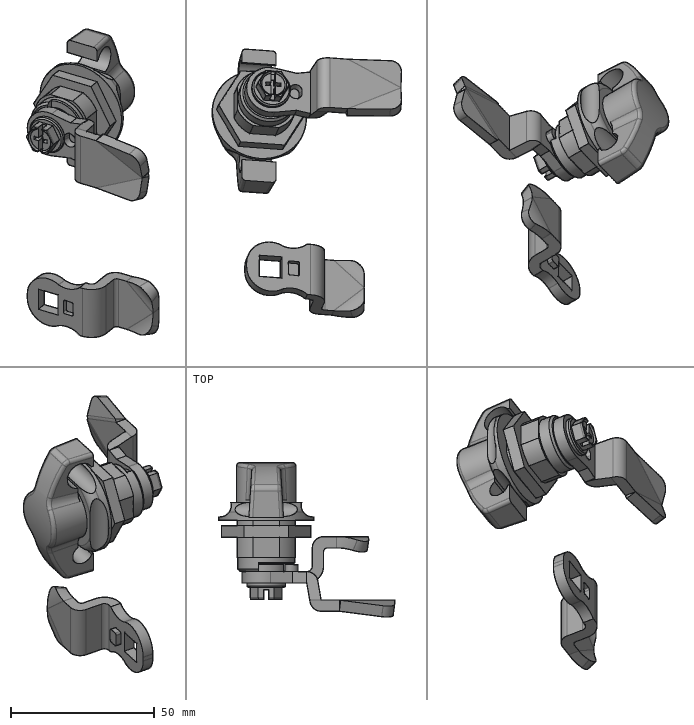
import cadquery as cq
import math


KNOB_SPAN = 50.0
KNOB_HALF_SPAN = KNOB_SPAN / 2
KNOB_TOP_Y = 20.1
DOME_RADIUS = 41.1
HUB_DIAMETER = 20.9
HUB_RADIUS = HUB_DIAMETER / 2
WING_BASE_Y = 0.9
WING_BASE_HALF_WIDTH = 6.1
WING_DRAFT = 3.5
WING_UNDERCUT_Y = 7.1
HUB_FILLET = 4.3
KNOB_EDGE_FILLET = 1.3
RIM_EDGES_Y = 8.2
TIP_ROUNDING = 2.9
UPPER_HOLE_Y, UPPER_HOLE_Z, UPPER_HOLE_RADIUS = 6.3, 17.5, 5.0
UPPER_FOOT_Z = 19.8
LOWER_HOLE_Y, LOWER_HOLE_Z, LOWER_HOLE_RADIUS = 5.3, -16.0, 3.8
LOWER_FOOT_Z = -17.2

FLANGE_RADIUS = 16.6
FLANGE_HEIGHT = 6.3
FLANGE_ROUNDING = 3.4
DENT_RADIUS = 3.9
DENT_Y = 5.1
DENT_FLOOR = 12.2
BARREL_RADIUS = 11.1
BARREL_ACROSS_FLATS = 20.2
BARREL_END_Y = -12.9
STOP_RING_RADIUS = 10.0
STOP_RING_END_Y = -17.8
STOP_RING_CHAMFER = 0.8
NOTCH_EDGE_CHAMFER = 0.4
NOTCH_TOP_Y = -15.1

NUT_ACROSS_FLATS = 27.0
NUT_TOP_Y = -1.8
NUT_THICKNESS = 4.1

SHAFT_RADIUS = 5.1
COLLAR_RADIUS = 7.2
COLLAR_FLAT_X = 6.0
COLLAR_TOP_Y = -15.4
SQUARE_SIDE = 8.0
WASHER_RADIUS = 6.8
WASHER_THICKNESS = 1.5
WASHER_CHAMFER = 0.5
SHANK_RADIUS = 2.6
SHANK_LENGTH = 10.3
HEAD_ACROSS_FLATS = 9.7
HEAD_HEIGHT = 4.1
HEAD_RIM_HEIGHT = 0.6
HEAD_RIM_TAPER = 8.0
DISH_OUTER_RADIUS = 4.6
DISH_INNER_RADIUS = 4.1
DISH_DEPTH = 0.6
SLOT_WIDTH = 1.6
SLOT_DEPTH = 3.3
CROSS_WIDTH = 1.2
CROSS_LENGTH = 5.3
CROSS_DEPTH = 3.6

SHEET = 4.0
CAM_TOP_Y = -17.9
CAM_END_RADIUS = 8.5
STOP_HALF_HEIGHT = 2.7

NECK_X = 9.1
NECK_SLOPE = 10.0
FIRST_BEND_X = 14.1
LEG_LEAN = 10.0
LOWER_PLATE_Y = -27.7
LOWER_TIP_X = 44.4
LOWER_HALF_WIDTH = 9.5
LOWER_CREASE_X = 25.5
LOWER_CORNER_RADIUS = 4.0
LOWER_FLAP_ANGLE = 16.5
ROUND_STOP_X = 8.8
ROUND_STOP_RADIUS = 2.3
ROUND_STOP_HEIGHT = 2.5
ROUND_STOP_TAPER = 14.0

SPARE_Z = -67.3
SPARE_ARC_OFFSET = 0.8
SPARE_ARC_END_X = 4.3
SPARE_WIDTH = 19.2
SPARE_HALF_WIDTH = SPARE_WIDTH / 2
SPARE_WAIST_X, SPARE_WAIST_HALF_WIDTH = 7.4, 7.6
SPARE_SHOULDER_X = 12.9
SPARE_BEND_INNER_RADIUS = 2.0
SPARE_PLATE_Y = -5.6
SPARE_INNER_FILLET = 1.3
SPARE_TIP_X = 35.3
SPARE_CREASE_X = 24.5
SPARE_FLAP_RADIUS = 8.6
SPARE_FLAP_DROP = 1.5
SPARE_FLAP_BACK = (10.7, 36.0, 3.7)
SPARE_FLAP_FRONT = (9.5, 35.1, 5.1)
SPARE_FLAP_SWEEP = 60.0
SQUARE_STOP_X = 8.2
SQUARE_STOP_HALF_WIDTH = 2.0
SQUARE_STOP_CORNER = 0.6
SQUARE_STOP_HEIGHT = 2.0

FAR = 61.6


def facing_front(y):
    """Work plane across the lock axis at height y; extrusions go toward -Y."""
    return cq.Workplane("XZ", origin=(0, y, 0))


def box_between(x_range, y_range, z_range):
    sizes = [high - low for low, high in (x_range, y_range, z_range)]
    corner = [low for low, high in (x_range, y_range, z_range)]
    return cq.Workplane("XY").box(*sizes, centered=False).translate(tuple(corner))


def hexagon(plane, across_flats):
    return plane.polygon(6, across_flats / math.cos(math.pi / 6))


def dome_block():
    """Everything below the domed back, cut to the span of the knob."""
    edge_drop = DOME_RADIUS - math.sqrt(DOME_RADIUS**2 - KNOB_HALF_SPAN**2)
    edge_y = KNOB_TOP_Y - edge_drop
    block = (
        cq.Workplane("YZ", origin=(-FAR / 2, 0, 0))
        .moveTo(WING_BASE_Y, -KNOB_HALF_SPAN)
        .lineTo(edge_y, -KNOB_HALF_SPAN)
        .threePointArc((KNOB_TOP_Y, 0), (edge_y, KNOB_HALF_SPAN))
        .lineTo(WING_BASE_Y, KNOB_HALF_SPAN)
        .close()
        .extrude(FAR)
    )
    return block.edges("|X").edges(">Y").fillet(TIP_ROUNDING)


def wing_bar():
    """Bar through both wings, its sides drafted toward the back."""
    height = KNOB_TOP_Y - WING_BASE_Y
    top_half_width = WING_BASE_HALF_WIDTH - height * math.tan(math.radians(WING_DRAFT))
    return (
        cq.Workplane("XY", origin=(0, 0, -KNOB_HALF_SPAN))
        .polyline([
            (-WING_BASE_HALF_WIDTH, WING_BASE_Y),
            (WING_BASE_HALF_WIDTH, WING_BASE_Y),
            (top_half_width, WING_BASE_Y + height),
            (-top_half_width, WING_BASE_Y + height),
        ])
        .close()
        .extrude(2 * KNOB_HALF_SPAN)
    )


def wing_hole(y, z, radius):
    return cq.Workplane("YZ", origin=(-FAR / 2, y, z)).circle(radius).extrude(FAR)


def back_rim_edges(knob):
    """Edges around the domed back and down the outer corners of both wings."""
    edges = []
    for edge in knob.edges("not |X").vals():
        box = edge.BoundingBox()
        at_wing_end = max(abs(box.zmin), abs(box.zmax)) > KNOB_HALF_SPAN - 0.01 and box.zlen < 0.01
        if at_wing_end or box.ymin > RIM_EDGES_Y:
            edges.append(edge)
    return edges


def make_knob():
    hub = facing_front(KNOB_TOP_Y).circle(HUB_RADIUS).extrude(KNOB_TOP_Y - WING_UNDERCUT_Y)
    wide = (-FAR / 2, FAR / 2)
    clearance = box_between(wide, (0, WING_UNDERCUT_Y), (LOWER_FOOT_Z, UPPER_FOOT_Z))
    bar = wing_bar().cut(clearance)
    knob = bar.union(hub)
    corner_edges = []
    for edge in knob.edges().vals():
        middle = edge.positionAt(0.5)
        on_hub = abs(math.hypot(middle.x, middle.z) - HUB_RADIUS) < 0.01
        if on_hub and edge.geomType() != "CIRCLE":
            corner_edges.append(edge)
    knob = knob.newObject(corner_edges).fillet(HUB_FILLET)
    knob = knob.intersect(dome_block())
    knob = knob.newObject(back_rim_edges(knob)).fillet(KNOB_EDGE_FILLET)
    knob = knob.cut(wing_hole(UPPER_HOLE_Y, UPPER_HOLE_Z, UPPER_HOLE_RADIUS))
    knob = knob.cut(wing_hole(LOWER_HOLE_Y, LOWER_HOLE_Z, LOWER_HOLE_RADIUS))
    seat = facing_front(WING_UNDERCUT_Y).circle(HUB_RADIUS).extrude(WING_UNDERCUT_Y - FLANGE_HEIGHT)
    return knob.union(seat)


def flange():
    disc = facing_front(FLANGE_HEIGHT).circle(FLANGE_RADIUS).extrude(FLANGE_HEIGHT)
    disc = disc.edges(">Y").fillet(FLANGE_ROUNDING)
    dent_axis = DENT_FLOOR + DENT_RADIUS
    dent = (
        cq.Workplane("XY", origin=(0, 0, -FAR / 2))
        .moveTo(dent_axis, DENT_Y)
        .circle(DENT_RADIUS)
        .extrude(FAR)
    )
    outside = box_between(
        (dent_axis, FAR), (DENT_Y - DENT_RADIUS, FAR), (-FAR / 2, FAR / 2)
    )
    for quarter in range(4):
        tool = dent.union(outside).rotate((0, 0, 0), (0, 1, 0), 90 * quarter)
        disc = disc.cut(tool)
    return disc


def barrel_prism(top_y, length):
    """Round bar with four flats."""
    bar = facing_front(top_y).circle(BARREL_RADIUS).extrude(length)
    flats = facing_front(top_y).rect(BARREL_ACROSS_FLATS, BARREL_ACROSS_FLATS).extrude(length)
    return bar.intersect(flats)


def stop_ring():
    """Ring under the barrel with a quarter notch that limits the turn of the cam boss."""
    ring = facing_front(BARREL_END_Y).circle(STOP_RING_RADIUS).extrude(BARREL_END_Y - STOP_RING_END_Y)
    ring = ring.edges("<Y").chamfer(STOP_RING_CHAMFER)
    quarter = box_between((-STOP_HALF_HEIGHT, FAR), (-FAR, BARREL_END_Y), (-STOP_HALF_HEIGHT, FAR))
    roof = facing_front(BARREL_END_Y).circle(STOP_RING_RADIUS).extrude(BARREL_END_Y - NOTCH_TOP_Y)
    roof = roof.edges("<Y").chamfer(NOTCH_EDGE_CHAMFER)
    return ring.cut(quarter).union(roof)


def make_housing():
    housing = flange().union(barrel_prism(0, -BARREL_END_Y)).union(stop_ring())
    bore = facing_front(FLANGE_HEIGHT).circle(SHAFT_RADIUS).extrude(FAR)
    return housing.cut(bore).cut(collar())


def make_nut():
    nut = hexagon(facing_front(NUT_TOP_Y), NUT_ACROSS_FLATS).extrude(NUT_THICKNESS)
    return nut.cut(barrel_prism(NUT_TOP_Y, NUT_THICKNESS))


def collar():
    """Shaft collar recessed in the bottom of the housing, seen through the notch."""
    disc = facing_front(COLLAR_TOP_Y).circle(COLLAR_RADIUS).extrude(COLLAR_TOP_Y - CAM_TOP_Y)
    return disc.cut(box_between((COLLAR_FLAT_X, FAR), (-FAR, 0), (-FAR / 2, FAR / 2)))


def make_shaft():
    shaft = facing_front(FLANGE_HEIGHT).circle(SHAFT_RADIUS).extrude(FLANGE_HEIGHT - CAM_TOP_Y)
    square = facing_front(CAM_TOP_Y).rect(SQUARE_SIDE, SQUARE_SIDE).extrude(SHEET)
    thread_hole = facing_front(CAM_TOP_Y - SHEET).circle(SHANK_RADIUS).extrude(-SHANK_LENGTH)
    return shaft.union(collar()).union(square).cut(thread_hole)


def make_washer():
    washer = facing_front(CAM_TOP_Y - SHEET).circle(WASHER_RADIUS).extrude(WASHER_THICKNESS)
    washer = washer.edges("<Y").chamfer(WASHER_CHAMFER)
    hole = facing_front(CAM_TOP_Y - SHEET).circle(SHANK_RADIUS).extrude(WASHER_THICKNESS)
    return washer.cut(hole)


def make_screw():
    seat_y = CAM_TOP_Y - SHEET - WASHER_THICKNESS
    end_y = seat_y - HEAD_HEIGHT
    rim_y = end_y + HEAD_RIM_HEIGHT
    head = hexagon(facing_front(seat_y), HEAD_ACROSS_FLATS).extrude(HEAD_HEIGHT - HEAD_RIM_HEIGHT)
    rim = hexagon(facing_front(rim_y), HEAD_ACROSS_FLATS).extrude(HEAD_RIM_HEIGHT, taper=HEAD_RIM_TAPER)
    head = head.union(rim)
    dish = (
        facing_front(end_y)
        .circle(DISH_OUTER_RADIUS)
        .workplane(offset=-DISH_DEPTH)
        .circle(DISH_INNER_RADIUS)
        .loft()
    )
    slot = facing_front(end_y).rect(SLOT_WIDTH, FAR).extrude(-SLOT_DEPTH)
    cross = (
        facing_front(end_y)
        .rect(CROSS_LENGTH, CROSS_WIDTH)
        .extrude(-CROSS_DEPTH)
        .union(facing_front(end_y).rect(CROSS_WIDTH, CROSS_LENGTH).extrude(-CROSS_DEPTH))
    )
    shank = facing_front(seat_y).circle(SHANK_RADIUS).extrude(-SHANK_LENGTH - WASHER_THICKNESS)
    return head.cut(dish).cut(slot).cut(cross).union(shank)


def plate_blank(x_range, back_y, half_width):
    start_x, tip_x = x_range
    blank = facing_front(back_y).moveTo((start_x + tip_x) / 2, 0)
    return blank.rect(tip_x - start_x, 2 * half_width).extrude(SHEET)


def corner_prism(crease_x, tip_x, back_y, half_width):
    """The plate corner beyond the crease that runs from its upper side to the middle of its tip."""
    return (
        facing_front(back_y)
        .polyline([(crease_x, half_width), (tip_x, 0), (tip_x, half_width)])
        .close()
        .extrude(SHEET)
    )


def across_crease(crease_start, crease_end):
    """Work plane through the crease, its x along the crease and its y along +Y."""
    direction = crease_end - crease_start
    normal = direction.cross(cq.Vector(0, 1, 0))
    return cq.Workplane(cq.Plane(crease_start.toTuple(), direction.toTuple(), normal.toTuple()))


def sharp_flap(flat_corner, crease_start, crease_end, angle):
    """Corner turned toward -Y about its crease, with the outside of the fold filled round."""
    turned = flat_corner.rotate(crease_start.toTuple(), crease_end.toTuple(), angle)
    fold = (
        across_crease(crease_start, crease_end)
        .rect((crease_end - crease_start).Length, SHEET, centered=False)
        .revolve(angle, (0, 0), (1, 0))
    )
    return turned.union(fold)


def curled_flap(edge_block, crease_start, crease_end):
    """Corner rolled toward -Y about an axis parallel to its crease, trimmed by its edge block."""
    axis_y = -SPARE_FLAP_RADIUS - SHEET / 2
    roll = (
        across_crease(crease_start, crease_end)
        .center(0, SHEET / 2)
        .rect(FAR, SHEET)
        .revolve(SPARE_FLAP_SWEEP, (0, axis_y), (1, axis_y))
    )
    return roll.intersect(edge_block)


def with_both_flaps(plate, corner, flap):
    middle = plate.cut(corner).cut(corner.mirror("XY"))
    return middle.union(flap).union(flap.mirror("XY"))


def square_hole():
    return facing_front(CAM_TOP_Y).rect(SQUARE_SIDE, SQUARE_SIDE).extrude(SHEET)


def neck_outline():
    """Round end with a waist, widening again toward the first bend."""
    slope = math.radians(NECK_SLOPE)
    touch_x = CAM_END_RADIUS * math.sin(slope)
    touch_z = CAM_END_RADIUS * math.cos(slope)
    neck_z = touch_z - (NECK_X - touch_x) * math.tan(slope)
    bend_z = neck_z + (FIRST_BEND_X - NECK_X) * math.tan(slope)
    outline = (
        facing_front(CAM_TOP_Y)
        .moveTo(FIRST_BEND_X, bend_z)
        .lineTo(NECK_X, neck_z)
        .lineTo(touch_x, touch_z)
        .threePointArc((-CAM_END_RADIUS, 0), (touch_x, -touch_z))
        .lineTo(NECK_X, -neck_z)
        .lineTo(FIRST_BEND_X, -bend_z)
        .close()
    )
    return outline, bend_z


def leaning_leg(bend_z):
    """Two sharp bends and the leg between them, widening from the neck to the plate."""
    front_y = CAM_TOP_Y - SHEET
    lean = math.radians(LEG_LEAN)
    across = (SHEET * math.cos(lean), SHEET * math.sin(lean))
    half_turn = (math.pi / 2 - lean) / 2
    leg_drop = front_y + across[1] - LOWER_PLATE_Y
    upper = (FIRST_BEND_X, front_y)
    upper_far = (upper[0] + across[0], upper[1] + across[1])
    lower = (upper_far[0] + leg_drop * math.tan(lean), LOWER_PLATE_Y)
    lower_far = (lower[0] - across[0], lower[1] - across[1])
    upper_mid = (upper[0] + SHEET * math.sin(half_turn), upper[1] + SHEET * math.cos(half_turn))
    lower_mid = (lower[0] - SHEET * math.sin(half_turn), lower[1] - SHEET * math.cos(half_turn))
    leg = (
        cq.Workplane("XY", origin=(0, 0, -LOWER_HALF_WIDTH))
        .moveTo(*upper)
        .lineTo(FIRST_BEND_X, CAM_TOP_Y)
        .threePointArc(upper_mid, upper_far)
        .lineTo(*lower)
        .lineTo(lower[0], LOWER_PLATE_Y - SHEET)
        .threePointArc(lower_mid, lower_far)
        .close()
        .extrude(2 * LOWER_HALF_WIDTH)
    )
    widening = (
        cq.Workplane("YZ")
        .polyline([
            (CAM_TOP_Y, -bend_z),
            (LOWER_PLATE_Y, -LOWER_HALF_WIDTH),
            (LOWER_PLATE_Y - SHEET, -LOWER_HALF_WIDTH),
            (LOWER_PLATE_Y - SHEET, LOWER_HALF_WIDTH),
            (LOWER_PLATE_Y, LOWER_HALF_WIDTH),
            (CAM_TOP_Y, bend_z),
        ])
        .close()
        .extrude(FAR)
    )
    return leg.intersect(widening), lower[0]


def lower_plate(start_x):
    front_y = LOWER_PLATE_Y - SHEET
    plate = plate_blank((start_x, LOWER_TIP_X), LOWER_PLATE_Y, LOWER_HALF_WIDTH)
    plate = plate.edges("|Y and >X").fillet(LOWER_CORNER_RADIUS)
    corner = corner_prism(LOWER_CREASE_X, LOWER_TIP_X, LOWER_PLATE_Y, LOWER_HALF_WIDTH)
    crease_start = cq.Vector(LOWER_CREASE_X, front_y, LOWER_HALF_WIDTH)
    crease_end = cq.Vector(LOWER_TIP_X, front_y, 0)
    flap = sharp_flap(plate.intersect(corner), crease_start, crease_end, LOWER_FLAP_ANGLE)
    return with_both_flaps(plate, corner, flap)


def round_stop(y):
    return facing_front(y).moveTo(ROUND_STOP_X, 0).slot2D(
        2 * STOP_HALF_HEIGHT, 2 * ROUND_STOP_RADIUS, 90
    )


def make_cam():
    outline, bend_z = neck_outline()
    leg, plate_x = leaning_leg(bend_z)
    cam = outline.extrude(SHEET).union(leg).union(lower_plate(plate_x)).cut(square_hole())
    boss = round_stop(CAM_TOP_Y).extrude(-ROUND_STOP_HEIGHT)
    dimple = round_stop(CAM_TOP_Y - SHEET).extrude(-ROUND_STOP_HEIGHT, taper=ROUND_STOP_TAPER)
    return cam.union(boss).cut(dimple)


def spare_flat():
    """Flat with a slightly elongated round end and a curved waist."""
    end_x = SPARE_ARC_END_X
    end_z = SPARE_ARC_OFFSET + math.sqrt(CAM_END_RADIUS**2 - end_x**2)
    arc_mid = CAM_END_RADIUS * math.sin(math.pi / 4)
    upper_mid = (-arc_mid, SPARE_ARC_OFFSET + arc_mid)
    lower_mid = (-arc_mid, -SPARE_ARC_OFFSET - arc_mid)
    return (
        facing_front(CAM_TOP_Y)
        .moveTo(FIRST_BEND_X, SPARE_HALF_WIDTH)
        .lineTo(SPARE_SHOULDER_X, SPARE_HALF_WIDTH)
        .threePointArc((SPARE_WAIST_X, SPARE_WAIST_HALF_WIDTH), (end_x, end_z))
        .threePointArc(upper_mid, (-CAM_END_RADIUS, SPARE_ARC_OFFSET))
        .lineTo(-CAM_END_RADIUS, -SPARE_ARC_OFFSET)
        .threePointArc(lower_mid, (end_x, -end_z))
        .threePointArc(
            (SPARE_WAIST_X, -SPARE_WAIST_HALF_WIDTH), (SPARE_SHOULDER_X, -SPARE_HALF_WIDTH)
        )
        .lineTo(FIRST_BEND_X, -SPARE_HALF_WIDTH)
        .close()
        .extrude(SHEET)
    )


def spare_leg():
    """Bend toward +Y, straight leg and outward bend into the end plate."""
    inner = SPARE_BEND_INNER_RADIUS
    outer = inner + SHEET
    leg_left = FIRST_BEND_X + inner
    leg_right = FIRST_BEND_X + outer
    bend_y = CAM_TOP_Y + inner
    plate_front_y = SPARE_PLATE_Y - SHEET
    diagonal = math.sin(math.pi / 4)
    fillet_mid = SPARE_INNER_FILLET * (1 - diagonal)
    return (
        cq.Workplane("XY", origin=(0, 0, -SPARE_HALF_WIDTH))
        .moveTo(FIRST_BEND_X, CAM_TOP_Y - SHEET)
        .threePointArc(
            (FIRST_BEND_X + outer * diagonal, bend_y - outer * diagonal), (leg_right, bend_y)
        )
        .lineTo(leg_right, plate_front_y - SPARE_INNER_FILLET)
        .threePointArc(
            (leg_right + fillet_mid, plate_front_y - fillet_mid),
            (leg_right + SPARE_INNER_FILLET, plate_front_y),
        )
        .lineTo(leg_right + SPARE_INNER_FILLET, SPARE_PLATE_Y)
        .lineTo(leg_right, SPARE_PLATE_Y)
        .threePointArc(
            (leg_right - SHEET * diagonal, plate_front_y + SHEET * diagonal), (leg_left, plate_front_y)
        )
        .lineTo(leg_left, bend_y)
        .threePointArc(
            (FIRST_BEND_X + inner * diagonal, bend_y - inner * diagonal), (FIRST_BEND_X, CAM_TOP_Y)
        )
        .close()
        .extrude(2 * SPARE_HALF_WIDTH)
    )


def flap_outline(plane, half_width, end_x, corner_radius):
    """Outline of a curled corner: from the crease along the side, round the corner to the tip."""
    return (
        plane.moveTo(SPARE_CREASE_X, SPARE_HALF_WIDTH)
        .lineTo(end_x - corner_radius, half_width)
        .tangentArcPoint((end_x, half_width - corner_radius), relative=False)
        .lineTo(SPARE_TIP_X, 0)
        .close()
        .wire()
        .val()
    )


def spare_plate(start_x):
    front_y = SPARE_PLATE_Y - SHEET
    plate = plate_blank((start_x, SPARE_TIP_X), SPARE_PLATE_Y, SPARE_HALF_WIDTH)
    corner = corner_prism(SPARE_CREASE_X, SPARE_TIP_X, SPARE_PLATE_Y, SPARE_HALF_WIDTH)
    back_outline = flap_outline(facing_front(SPARE_PLATE_Y), *SPARE_FLAP_BACK)
    front_outline = flap_outline(facing_front(front_y - SPARE_FLAP_DROP), *SPARE_FLAP_FRONT)
    edge_block = cq.Solid.makeLoft([back_outline, front_outline], True)
    crease_start = cq.Vector(SPARE_CREASE_X, front_y, SPARE_HALF_WIDTH)
    crease_end = cq.Vector(SPARE_TIP_X, front_y, 0)
    flap = curled_flap(cq.Workplane(edge_block), crease_start, crease_end)
    return with_both_flaps(plate, corner, flap)


def square_stop(y):
    stop = box_between(
        (SQUARE_STOP_X - SQUARE_STOP_HALF_WIDTH, SQUARE_STOP_X + SQUARE_STOP_HALF_WIDTH),
        (y, y + SQUARE_STOP_HEIGHT),
        (-STOP_HALF_HEIGHT, STOP_HALF_HEIGHT),
    )
    return stop.edges("|Y").fillet(SQUARE_STOP_CORNER)


def make_spare_cam():
    plate_x = FIRST_BEND_X + SPARE_BEND_INNER_RADIUS + SHEET
    cam = spare_flat().union(spare_leg()).union(spare_plate(plate_x)).cut(square_hole())
    cam = cam.union(square_stop(CAM_TOP_Y)).cut(square_stop(CAM_TOP_Y - SHEET))
    return cam.translate((0, 0, SPARE_Z))


knob = make_knob()
housing = make_housing()
nut = make_nut()
shaft = make_shaft()
washer = make_washer()
screw = make_screw()
cam = make_cam()
spare_cam = make_spare_cam()

result = cq.Compound.makeCompound([
    knob.solids().val(),
    housing.solids().val(),
    nut.solids().val(),
    shaft.solids().val(),
    washer.solids().val(),
    screw.solids().val(),
    cam.solids().val(),
    spare_cam.solids().val(),
])